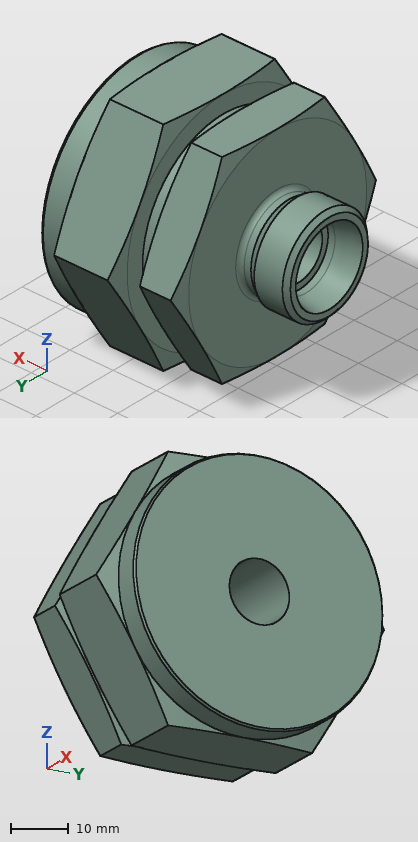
import cadquery as cq
import math

BODY_HEX_START = 12.0
BODY_HEX_END = 21.0
NUT_START = 24.5
NUT_END = 38.9
TOTAL_LENGTH = 44.4

HEX_SIDES = 6
FLATS_PER_CORNERS = math.cos(math.pi / HEX_SIDES)
NUT_CORNERS = 57.75
NUT_FLATS = NUT_CORNERS * FLATS_PER_CORNERS
BODY_FLATS = 46.0
HEX_BEVEL_ANGLE = 15.0

THREAD_RADIUS = 11.0
THREAD_CHAMFER = 1.0
THREAD_END = 7.5
UNDERCUT_RADIUS = 9.8
UNDERCUT_START = 9.35
UNDERCUT_FILLET = 1.05

NECK_RADIUS = 20.95
COLLAR_RADIUS = NUT_FLATS / 2
COLLAR_CHAMFER_LENGTH = 0.5
COLLAR_CHAMFER_DEPTH = 0.3

MOUTH_RADIUS = 8.65
SOCKET_RADIUS = 7.5
MOUTH_HALF_ANGLE = 12.0
MOUTH_DEPTH = (MOUTH_RADIUS - SOCKET_RADIUS) / math.tan(math.radians(MOUTH_HALF_ANGLE))
SOCKET_DEPTH = 7.0
HOLE_RADIUS = 6.0


def revolve_about_x(profile):
    """Turn a closed (x, radius) profile around the X axis."""
    return profile.close().revolve(360, (0, 0, 0), (1, 0, 0))


def bevelled_hex(start, end, flats):
    """Hexagonal prism along X whose corners are bevelled by a cone at both ends."""
    flat_radius = flats / 2
    corner_radius = flat_radius / FLATS_PER_CORNERS
    bevel = (corner_radius - flat_radius) * math.tan(math.radians(HEX_BEVEL_ANGLE))
    prism = (
        cq.Workplane("YZ", origin=(start, 0, 0))
        .polygon(HEX_SIDES, 2 * corner_radius)
        .extrude(end - start)
    )
    envelope = revolve_about_x(
        cq.Workplane("XY")
        .moveTo(start, 0)
        .lineTo(start, flat_radius)
        .lineTo(start + bevel, corner_radius)
        .lineTo(end - bevel, corner_radius)
        .lineTo(end, flat_radius)
        .lineTo(end, 0)
    )
    return prism.intersect(envelope)


def turned_body():
    """Spigot, undercut, neck and collar as one turned piece."""
    fillet_start = BODY_HEX_START - UNDERCUT_FILLET
    return revolve_about_x(
        cq.Workplane("XY")
        .moveTo(0, 0)
        .lineTo(0, THREAD_RADIUS - THREAD_CHAMFER)
        .lineTo(THREAD_CHAMFER, THREAD_RADIUS)
        .lineTo(THREAD_END, THREAD_RADIUS)
        .lineTo(UNDERCUT_START, UNDERCUT_RADIUS)
        .lineTo(fillet_start, UNDERCUT_RADIUS)
        .radiusArc((BODY_HEX_START, UNDERCUT_RADIUS + UNDERCUT_FILLET), -UNDERCUT_FILLET)
        .lineTo(BODY_HEX_START, NECK_RADIUS)
        .lineTo(NUT_END, NECK_RADIUS)
        .lineTo(NUT_END, COLLAR_RADIUS)
        .lineTo(TOTAL_LENGTH - COLLAR_CHAMFER_LENGTH, COLLAR_RADIUS)
        .lineTo(TOTAL_LENGTH, COLLAR_RADIUS - COLLAR_CHAMFER_DEPTH)
        .lineTo(TOTAL_LENGTH, 0)
    )


def stepped_bore():
    """Material removed by the conical mouth, socket and through hole."""
    return revolve_about_x(
        cq.Workplane("XY")
        .moveTo(0, 0)
        .lineTo(0, MOUTH_RADIUS)
        .lineTo(MOUTH_DEPTH, SOCKET_RADIUS)
        .lineTo(SOCKET_DEPTH, SOCKET_RADIUS)
        .lineTo(SOCKET_DEPTH, HOLE_RADIUS)
        .lineTo(TOTAL_LENGTH, HOLE_RADIUS)
        .lineTo(TOTAL_LENGTH, 0)
    )


body_hex = bevelled_hex(BODY_HEX_START, BODY_HEX_END, BODY_FLATS)
nut_hex = bevelled_hex(NUT_START, NUT_END, NUT_FLATS)
result = turned_body().union(body_hex).union(nut_hex).cut(stepped_bore())